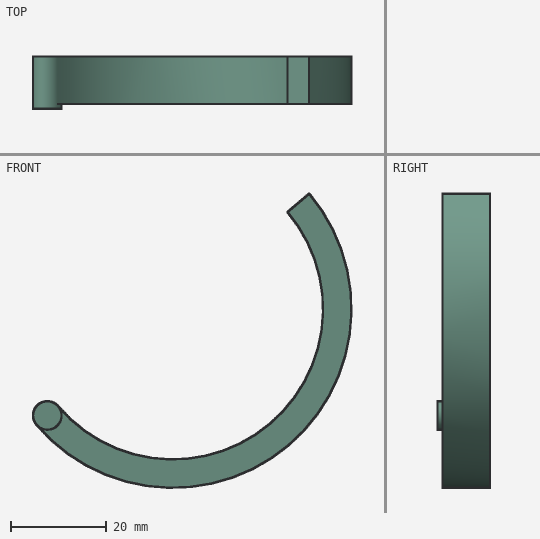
import cadquery as cq
import math

OUTER_RADIUS = 37.45
BAND_THICKNESS = 6.0
BAND_WIDTH = 10.0
PIN_DIAMETER = BAND_THICKNESS
PIN_PROTRUSION = 1.0
END_ANGLE = 40.27
SWEEP_ANGLE = 180.0

INNER_RADIUS = OUTER_RADIUS - BAND_THICKNESS
MEAN_RADIUS = (OUTER_RADIUS + INNER_RADIUS) / 2
PIN_LENGTH = BAND_WIDTH + PIN_PROTRUSION
PIN_ANGLE = END_ANGLE - SWEEP_ANGLE
MIDDLE_ANGLE = END_ANGLE - SWEEP_ANGLE / 2


def polar(radius, angle):
    """Point in the XZ plane, relative to the ring axis."""
    a = math.radians(angle)
    return (radius * math.cos(a), radius * math.sin(a))


def make_band():
    """Half ring whose back face lies on Y = 0 and which extends towards -Y."""
    return (
        cq.Workplane("XZ")
        .moveTo(*polar(OUTER_RADIUS, END_ANGLE))
        .threePointArc(polar(OUTER_RADIUS, MIDDLE_ANGLE), polar(OUTER_RADIUS, PIN_ANGLE))
        .lineTo(*polar(INNER_RADIUS, PIN_ANGLE))
        .threePointArc(polar(INNER_RADIUS, MIDDLE_ANGLE), polar(INNER_RADIUS, END_ANGLE))
        .close()
        .extrude(BAND_WIDTH)
    )


def make_pin():
    """Round pin on the lower end of the band, flush with its back face."""
    return (
        cq.Workplane("XZ")
        .center(*polar(MEAN_RADIUS, PIN_ANGLE))
        .circle(PIN_DIAMETER / 2)
        .extrude(PIN_LENGTH)
    )


result = make_band().union(make_pin())